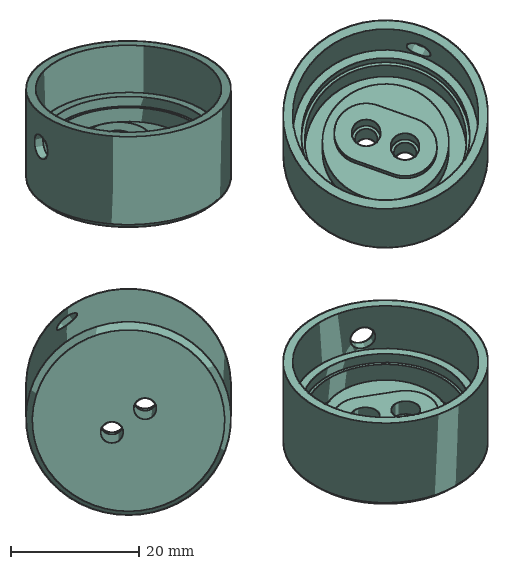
import cadquery as cq

outer_diameter = 32.0
height = 16.5
bottom_chamfer = 1.0

mouth_diameter = 29.0
mouth_floor = 8.2
step_diameter = 26.25
step_floor = 6.5
groove_outer_diameter = 25.25
groove_inner_diameter = 19.75
groove_floor = 2.0
boss_top = 5.5

pad_width = 10.0
pad_top = step_floor
hole_spacing = 6.5
hole_diameter = 3.5
counterbore_diameter = 4.5
counterbore_depth = 2.5

side_hole_diameter = 4.0
side_hole_level = 10.6


def cylinder(diameter, bottom, top):
    """Upright cylinder on the Z axis between two levels."""
    return cq.Workplane("XY").workplane(offset=bottom).circle(diameter / 2).extrude(top - bottom)


def make_cup():
    """Chamfered body with the stepped cavity and the ring groove around the boss."""
    cup = cylinder(outer_diameter, 0, height).faces("<Z").chamfer(bottom_chamfer)
    cup = cup.cut(cylinder(mouth_diameter, mouth_floor, height))
    cup = cup.cut(cylinder(step_diameter, step_floor, height))
    cup = cup.cut(cylinder(groove_outer_diameter, groove_floor, height))
    return cup.union(cylinder(groove_inner_diameter, groove_floor, boss_top))


def make_pad():
    """Raised obround whose end arcs are centred on the holes."""
    return (
        cq.Workplane("XY")
        .workplane(offset=groove_floor)
        .slot2D(hole_spacing + pad_width, pad_width)
        .extrude(pad_top - groove_floor)
    )


def hole_pair(diameter, bottom, top):
    """Two upright cylinders side by side along X, between two levels."""
    return (
        cq.Workplane("XY")
        .workplane(offset=bottom)
        .pushPoints([(-hole_spacing / 2, 0), (hole_spacing / 2, 0)])
        .circle(diameter / 2)
        .extrude(top - bottom)
    )


def drill_pad_holes(body):
    """Two counterbored through holes in the pad."""
    body = body.cut(hole_pair(hole_diameter, 0, pad_top))
    return body.cut(hole_pair(counterbore_diameter, pad_top - counterbore_depth, pad_top))


def drill_side_hole(body):
    """Radial hole from the cavity out through the -Y wall."""
    drill = (
        cq.Workplane("XZ")
        .center(0, side_hole_level)
        .circle(side_hole_diameter / 2)
        .extrude(outer_diameter)
    )
    return body.cut(drill)


body = make_cup().union(make_pad())
body = drill_pad_holes(body)
result = drill_side_hole(body)